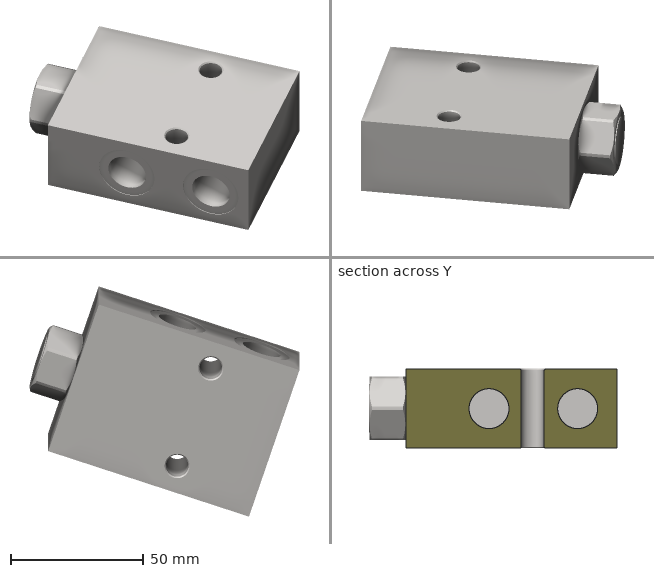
import cadquery as cq
import math

total_length = 93.8
block_length = 80.0
block_width = 60.0
block_height = 30.0
plug_length = total_length - block_length

hex_across_flats = 24.0
corner_diameter = 27.0
disc_diameter = 18.3
disc_height = 0.3
chamfer_radial = 1.5
chamfer_angle = math.radians(30)

port_diameter = 14.9
port_depth = 18.8
spotface_diameter = 22.0
spotface_depth = 0.3
port_positions = (31.5, 65.0)

mount_diameter = 8.5
mount_chamfer = 0.5
mount_position = 48.0
mount_spacing = 40.0


def make_block():
    return cq.Workplane("XY").box(
        block_length, block_width, block_height, centered=(False, True, True)
    )


def make_plug():
    """Hexagon trimmed by a turned profile, with a raised disc on its end."""
    hex_length = plug_length - disc_height
    shoulder_x = -hex_length
    corner_radius = corner_diameter / 2
    slope = math.tan(chamfer_angle)
    hexagon = (
        cq.Workplane("YZ", origin=(shoulder_x, 0, 0))
        .polygon(6, hex_across_flats / math.cos(math.pi / 6))
        .extrude(hex_length)
    )
    turned = (
        cq.Workplane("XY")
        .moveTo(shoulder_x, 0)
        .lineTo(shoulder_x, corner_radius - chamfer_radial)
        .lineTo(shoulder_x + chamfer_radial * slope, corner_radius)
        .lineTo(-chamfer_radial * slope, corner_radius)
        .lineTo(0, corner_radius - chamfer_radial)
        .lineTo(0, 0)
        .close()
        .revolve(360, (0, 0, 0), (1, 0, 0))
    )
    disc = (
        cq.Workplane("YZ", origin=(-plug_length, 0, 0))
        .circle(disc_diameter / 2)
        .extrude(disc_height)
    )
    return hexagon.intersect(turned).union(disc)


def cut_ports(body):
    """Blind ports with shallow spotfaces, at mid height of the -Y face."""
    return (
        body.copyWorkplane(cq.Workplane("XZ", origin=(0, -block_width / 2, 0)))
        .pushPoints([(x, 0) for x in port_positions])
        .cboreHole(port_diameter, spotface_diameter, spotface_depth, port_depth)
    )


def cut_mounting_holes(body):
    """Through holes, chamfered at both ends."""
    countersink_diameter = mount_diameter + 2 * mount_chamfer
    centres = [(mount_position, side * mount_spacing / 2) for side in (-1, 1)]
    for end in (-1, 1):
        face = cq.Workplane("XY", origin=(0, 0, end * block_height / 2))
        if end < 0:
            face = face.transformed(rotate=(180, 0, 0))
        body = (
            body.copyWorkplane(face)
            .pushPoints(centres)
            .cskHole(mount_diameter, countersink_diameter, 90)
        )
    return body


body = make_block().union(make_plug())
body = cut_ports(body)
result = cut_mounting_holes(body)